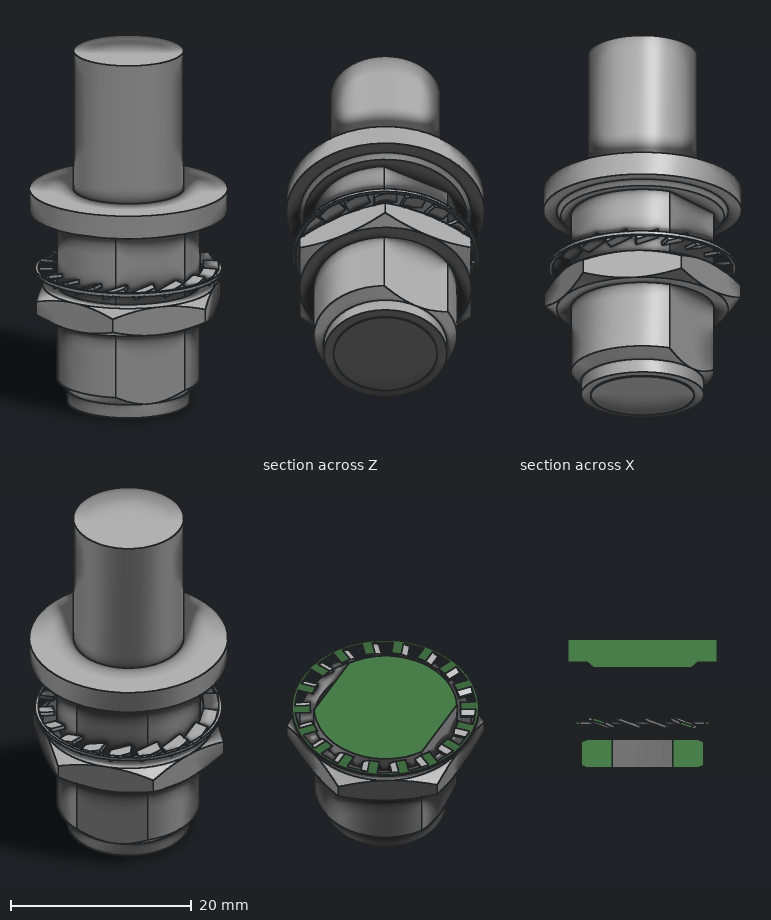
import cadquery as cq
import math

total_height = 40.57
barrel_radius = 7.94
collar_radius = 6.81
flat_distance = collar_radius
lip_radius = 5.73
lip_height = 0.12
collar_top = 1.65
barrel_chamfer_top = collar_top + (barrel_radius - collar_radius)

flange_radius = 11.0
flange_bottom = 22.05
flange_top = 24.65
seat_depth = 0.6
seat_top_radius = 9.5
seat_bottom_radius = 9.05
seat_bottom = flange_bottom - seat_depth
sleeve_radius = 6.12

nut_across_flats = 19.0
nut_bottom = 10.35
nut_height = 3.2
nut_chamfer_angle = 30.0
nut_sides = 6
nut_corner_radius = nut_across_flats / 2 / math.cos(math.pi / nut_sides)

washer_mid_height = 15.33
washer_thickness = 0.4
washer_outer_radius = 10.37
washer_ring_inner_radius = 10.0
tooth_tip_distance = 8.3
tooth_count = 18
tooth_width = 2.6
tooth_twist = 20.0
first_tooth_angle = -90.0


def cylinder(radius, bottom, top):
    return cq.Workplane("XY").workplane(offset=bottom).circle(radius).extrude(top - bottom)


def make_barrel():
    """Chamfered barrel with two opposite flats, standing on a round collar and a thin lip."""
    barrel = (
        cq.Workplane("XZ")
        .moveTo(0, collar_top)
        .lineTo(collar_radius, collar_top)
        .lineTo(barrel_radius, barrel_chamfer_top)
        .lineTo(barrel_radius, seat_bottom)
        .lineTo(0, seat_bottom)
        .close()
        .revolve(360, (0, 0), (0, 1))
    )
    between_flats = (
        cq.Workplane("XY")
        .rect(2 * flat_distance, 2 * barrel_radius)
        .extrude(seat_bottom)
    )
    collar = cylinder(collar_radius, lip_height, collar_top)
    lip = cylinder(lip_radius, 0, lip_height)
    return barrel.intersect(between_flats).union(collar).union(lip)


def make_flange_and_sleeve():
    """Flange with a tapered seat under it and the plain sleeve on top."""
    return (
        cq.Workplane("XZ")
        .moveTo(0, seat_bottom)
        .lineTo(seat_bottom_radius, seat_bottom)
        .lineTo(seat_top_radius, flange_bottom)
        .lineTo(flange_radius, flange_bottom)
        .lineTo(flange_radius, flange_top)
        .lineTo(sleeve_radius, flange_top)
        .lineTo(sleeve_radius, total_height)
        .lineTo(0, total_height)
        .close()
        .revolve(360, (0, 0), (0, 1))
    )


def make_nut():
    """Hexagon with corners on +Y and -Y, its corners chamfered conically at both ends.

    The round bore fits the barrel and leaves a narrow gap beside each flat.
    """
    hexagon = (
        cq.Workplane("XY")
        .workplane(offset=nut_bottom)
        .polygon(nut_sides, 2 * nut_corner_radius)
        .extrude(nut_height)
        .rotate((0, 0, 0), (0, 0, 1), 90)
    )
    face_radius = nut_across_flats / 2
    nut_top = nut_bottom + nut_height
    chamfer_height = (nut_corner_radius - face_radius) * math.tan(math.radians(nut_chamfer_angle))
    chamfer_envelope = (
        cq.Workplane("XZ")
        .moveTo(0, nut_bottom)
        .lineTo(face_radius, nut_bottom)
        .lineTo(nut_corner_radius, nut_bottom + chamfer_height)
        .lineTo(nut_corner_radius, nut_top - chamfer_height)
        .lineTo(face_radius, nut_top)
        .lineTo(0, nut_top)
        .close()
        .revolve(360, (0, 0), (0, 1))
    )
    bore = cylinder(barrel_radius, nut_bottom, nut_top)
    return hexagon.intersect(chamfer_envelope).cut(bore)


def make_connector():
    """Barrel, nut, flange and sleeve as one solid."""
    return make_barrel().union(make_flange_and_sleeve()).union(make_nut())


def make_tooth():
    """Plate along +X, twisted about its own radial axis, its outer end trimmed by a cylinder."""
    tooth_blank_length = washer_outer_radius - tooth_tip_distance
    plate = (
        cq.Workplane("XY")
        .box(tooth_blank_length, tooth_width, washer_thickness, centered=(False, True, True))
        .rotate((0, 0, 0), (1, 0, 0), tooth_twist)
        .translate((tooth_tip_distance, 0, washer_mid_height))
    )
    band_bottom = washer_mid_height - tooth_width
    band_top = washer_mid_height + tooth_width
    return plate.intersect(cylinder(washer_ring_inner_radius, band_bottom, band_top))


def make_lock_washer():
    """Thin ring with twisted teeth pointing inward."""
    ring_bottom = washer_mid_height - washer_thickness / 2
    ring_top = washer_mid_height + washer_thickness / 2
    washer = cylinder(washer_outer_radius, ring_bottom, ring_top).cut(
        cylinder(washer_ring_inner_radius, ring_bottom, ring_top)
    )
    tooth = make_tooth()
    for index in range(tooth_count):
        angle = first_tooth_angle + index * 360 / tooth_count
        washer = washer.union(tooth.rotate((0, 0, 0), (0, 0, 1), angle))
    return washer


connector = make_connector()
lock_washer = make_lock_washer()

result = cq.Compound.makeCompound([connector.val(), lock_washer.val()])